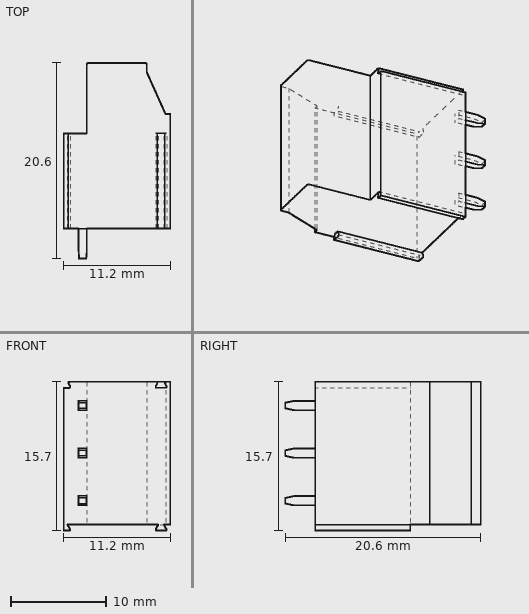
import cadquery as cq
import math

POLES = 3
PITCH = 5.0
HEIGHT = POLES * PITCH
WIDTH = 11.2
DEPTH = 17.4
BASE_DEPTH = 10.0
BACK_LEFT = 2.4
BACK_RIGHT = 8.75
SLOPE_END_X = 10.7
SLOPE_END_Y = 12.05
BACK_RIGHT_LENGTH = 1.0
SLOPE_START_Y = DEPTH - BACK_RIGHT_LENGTH
BACK_RADIUS = 0.2

DOVETAIL_HEIGHT = 0.65
DOVETAIL_ANGLE = 30.0
DOVETAIL_RADIUS = 0.12
EDGE_DOVETAIL_WIDTH = 0.59
INNER_DOVETAIL_CENTER = 10.23
INNER_DOVETAIL_WIDTH = 0.96
FLANK_SHIFT = DOVETAIL_HEIGHT / 2 * math.tan(math.radians(DOVETAIL_ANGLE))

PIN_X = 2.0
PIN_WIDTH = 0.9
PIN_HEIGHT = 1.0
PIN_LENGTH = 3.15
PIN_TIP_LENGTH = 0.93
PIN_TIP_WIDTH = 0.78
PIN_TIP_HEIGHT = 0.6


def make_housing():
    outline = [
        (0, 0),
        (WIDTH, 0),
        (WIDTH, SLOPE_END_Y),
        (SLOPE_END_X, SLOPE_END_Y),
        (BACK_RIGHT, SLOPE_START_Y),
        (BACK_RIGHT, DEPTH),
        (BACK_LEFT, DEPTH),
        (BACK_LEFT, BASE_DEPTH),
        (0, BASE_DEPTH),
    ]
    housing = cq.Workplane("XY").polyline(outline).close().extrude(HEIGHT)
    return housing.edges("|Z and >Y").fillet(BACK_RADIUS)


def dovetail_bar(outline, top_z):
    """Bar along Y from an XZ outline whose Z is measured from top_z."""
    plane = cq.Workplane("XZ", origin=(0, 0, top_z))
    return plane.polyline(outline).close().extrude(-BASE_DEPTH)


def edge_dovetail(top_z):
    """Dovetail half at the left wall: one sloped flank, wider at the bottom."""
    outline = [
        (0, 0),
        (EDGE_DOVETAIL_WIDTH - FLANK_SHIFT, 0),
        (EDGE_DOVETAIL_WIDTH + FLANK_SHIFT, -DOVETAIL_HEIGHT),
        (0, -DOVETAIL_HEIGHT),
    ]
    bar = dovetail_bar(outline, top_z)
    return bar.edges("|Y and >X").fillet(DOVETAIL_RADIUS)


def inner_dovetail(top_z):
    """Full dovetail near the right wall: two sloped flanks."""
    neck = INNER_DOVETAIL_WIDTH / 2 - FLANK_SHIFT
    foot = INNER_DOVETAIL_WIDTH / 2 + FLANK_SHIFT
    outline = [
        (INNER_DOVETAIL_CENTER - neck, 0),
        (INNER_DOVETAIL_CENTER + neck, 0),
        (INNER_DOVETAIL_CENTER + foot, -DOVETAIL_HEIGHT),
        (INNER_DOVETAIL_CENTER - foot, -DOVETAIL_HEIGHT),
    ]
    bar = dovetail_bar(outline, top_z)
    return bar.edges("|Y and <Z").fillet(DOVETAIL_RADIUS)


def round_over(x, outward):
    """Cutter that rounds a groove lip.

    x is the sharp lip's position; outward (+1 or -1) points into the solid.
    """
    lip_angle = math.radians(90 - DOVETAIL_ANGLE)
    tangent_length = DOVETAIL_RADIUS / math.tan(lip_angle / 2)
    center_x = x + outward * tangent_length
    lower_x = x + outward * tangent_length * math.cos(lip_angle)
    lower_z = -tangent_length * math.sin(lip_angle)
    plane = cq.Workplane("XZ", origin=(0, 0, HEIGHT))
    lip = plane.moveTo(x, 0).lineTo(center_x, 0)
    lip = lip.threePointArc((center_x - outward * DOVETAIL_RADIUS, -DOVETAIL_RADIUS), (lower_x, lower_z))
    return lip.close().extrude(-BASE_DEPTH)


def make_pin(z):
    shank_length = PIN_LENGTH - PIN_TIP_LENGTH
    plane = cq.Workplane("XZ", origin=(PIN_X, 0, z))
    shank = plane.rect(PIN_WIDTH, PIN_HEIGHT).extrude(shank_length)
    tip = (
        plane.workplane(offset=shank_length)
        .rect(PIN_WIDTH, PIN_HEIGHT)
        .workplane(offset=PIN_TIP_LENGTH)
        .rect(PIN_TIP_WIDTH, PIN_TIP_HEIGHT)
        .loft(ruled=True)
    )
    return shank.union(tip)


def cut_grooves(housing):
    neck = INNER_DOVETAIL_WIDTH / 2 - FLANK_SHIFT
    grooved = housing.cut(edge_dovetail(HEIGHT)).cut(inner_dovetail(HEIGHT))
    grooved = grooved.cut(round_over(EDGE_DOVETAIL_WIDTH - FLANK_SHIFT, 1))
    for side in (-1, 1):
        grooved = grooved.cut(round_over(INNER_DOVETAIL_CENTER + side * neck, side))
    return grooved


def add_tongues(housing):
    return housing.union(edge_dovetail(0)).union(inner_dovetail(0))


result = add_tongues(cut_grooves(make_housing()))
for pole in range(POLES):
    result = result.union(make_pin((pole + 0.5) * PITCH))